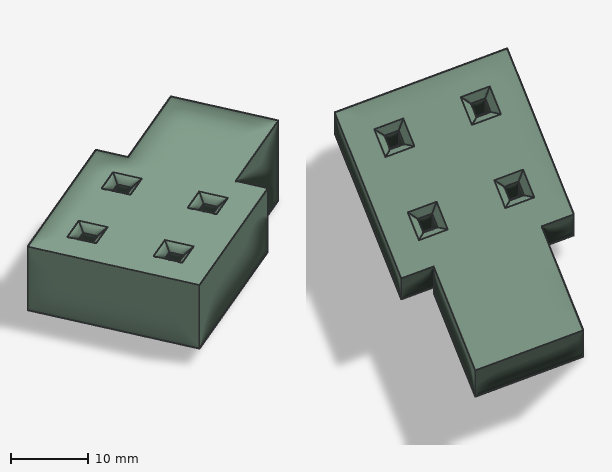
import cadquery as cq

total_length = 39.0
body_side = 24.0
body_height = 10.0
tail_height = 12.5
tail_length = total_length - body_side
tail_width = tail_length

socket_spacing = 12.0
socket_mouth = 4.0
socket_bore = 2.0
socket_depth = 8.0
lead_in_depth = (socket_mouth - socket_bore) / 2


def block(width, length, height, front_y):
    """Box centred on X, starting at front_y and hanging below the top plane Z = 0."""
    return (
        cq.Workplane("XY")
        .box(width, length, height, centered=(True, False, False))
        .translate((0, front_y, -height))
    )


def socket(x, y):
    """Straight square bore that flares out to a wider square mouth at Z = 0."""
    bore = cq.Workplane("XY").center(x, y).rect(socket_bore, socket_bore).extrude(-socket_depth)
    lead_in = (
        cq.Workplane("XY")
        .center(x, y)
        .rect(socket_mouth, socket_mouth)
        .workplane(offset=-lead_in_depth)
        .rect(socket_bore, socket_bore)
        .loft(ruled=True)
    )
    return bore.union(lead_in)


body = block(body_side, body_side, body_height, 0)
tail = block(tail_width, tail_length, tail_height, body_side)
result = body.union(tail)

for x_side in (-1, 1):
    for y_side in (-1, 1):
        socket_x = x_side * socket_spacing / 2
        socket_y = body_side / 2 + y_side * socket_spacing / 2
        result = result.cut(socket(socket_x, socket_y))